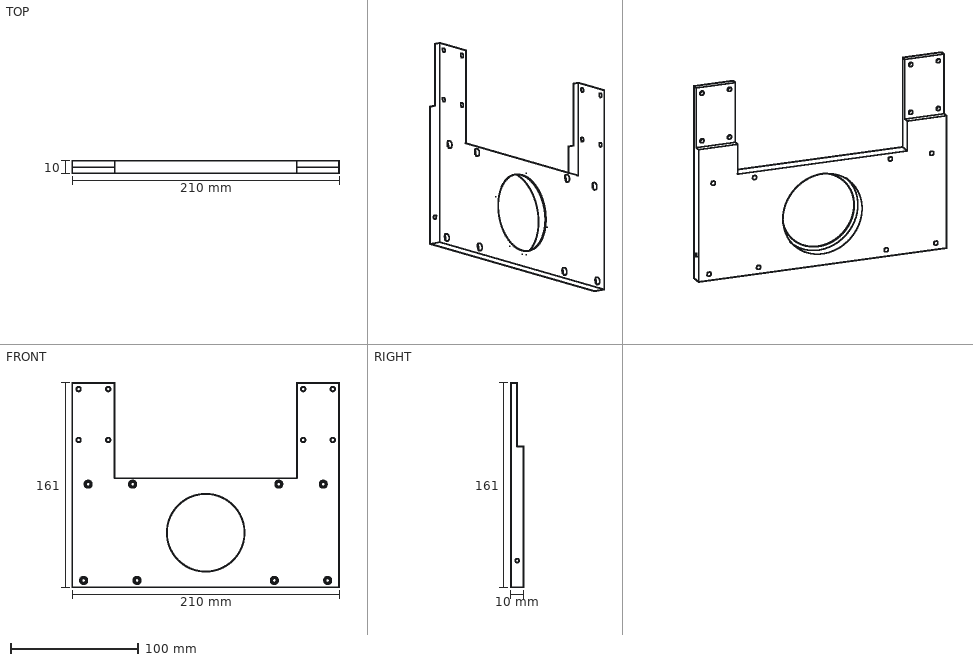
import cadquery as cq

width = 210.0
thickness = 10.0
height = 161.0
arm_width = 33.3
notch_depth = 75.0
body_height = height - notch_depth

thin_thickness = 5.0
thin_length = 50.0

bore_diameter = 61.0
lip_thickness = 1.0
recess_diameter = 67.0

arm_hole_diameter = 3.4
arm_hole_inset = 5.0
arm_hole_pitch = 40.0
arm_hole_top_offset = 5.0

screw_hole_diameter = 3.45
counterbore_diameter = 5.9
counterbore_depth = 3.5
screw_group_x = 75.0
upper_screw_pitch = 35.0
lower_screw_pitch = 42.0
upper_screw_offset = 4.8
lower_screw_offset = 5.45

side_hole_diameter = 3.0
side_hole_depth = 10.0
side_hole_z = 21.0


def box_between(x_min, x_max, y_min, y_max, z_min, z_max):
    """Axis-aligned box given by its limits."""
    size = (x_max - x_min, y_max - y_min, z_max - z_min)
    return cq.Workplane("XY").box(*size, centered=False).translate((x_min, y_min, z_min))


def holes_along_y(points, diameter, depth):
    """Cylinders entering the front face (y = 0) at (x, z) points."""
    front_plane = cq.Workplane("XZ").pushPoints(points)
    return front_plane.circle(diameter / 2).extrude(-depth)


def mirrored(points):
    """Points together with their mirror images about the middle plane x = 0."""
    return points + [(-x, z) for x, z in points]


def make_plate():
    """U-shaped plate with the upper ends of both arms thinned from the rear."""
    half_width = width / 2
    half_notch = half_width - arm_width
    plate = box_between(-half_width, half_width, 0, thickness, 0, height)
    notch = box_between(-half_notch, half_notch, 0, thickness, body_height, height)
    step_z = height - thin_length
    step = box_between(-half_width, half_width, thin_thickness, thickness, step_z, height)
    return plate.cut(notch).cut(step)


def cut_bore(part):
    """Large round opening in the middle of the body, widened behind a thin front lip."""
    centre = [(0, body_height / 2)]
    bore = holes_along_y(centre, bore_diameter, thickness)
    recess = holes_along_y(centre, recess_diameter, thickness).translate((0, lip_thickness, 0))
    return part.cut(bore).cut(recess)


def cut_arm_holes(part):
    """Four plain through holes in each arm."""
    outer_x = width / 2 - arm_hole_inset
    inner_x = width / 2 - arm_width + arm_hole_inset
    upper_z = height - arm_hole_top_offset
    lower_z = upper_z - arm_hole_pitch
    points = [(x, z) for x in (inner_x, outer_x) for z in (lower_z, upper_z)]
    return part.cut(holes_along_y(mirrored(points), arm_hole_diameter, thickness))


def cut_screw_holes(part):
    """Upper and lower rows of through holes, counterbored from the front."""
    rows = [
        (upper_screw_pitch, body_height - upper_screw_offset),
        (lower_screw_pitch, lower_screw_offset),
    ]
    points = [(screw_group_x + side * pitch / 2, z) for pitch, z in rows for side in (-1, 1)]
    points = mirrored(points)
    part = part.cut(holes_along_y(points, screw_hole_diameter, thickness))
    return part.cut(holes_along_y(points, counterbore_diameter, counterbore_depth))


def cut_side_holes(part):
    """One blind hole in each side edge, centred in the thickness."""
    left_edge = cq.Workplane("YZ", origin=(-width / 2, 0, 0))
    profile = left_edge.center(thickness / 2, side_hole_z).circle(side_hole_diameter / 2)
    hole = profile.extrude(side_hole_depth)
    return part.cut(hole).cut(hole.mirror("YZ"))


result = make_plate()
result = cut_bore(result)
result = cut_arm_holes(result)
result = cut_screw_holes(result)
result = cut_side_holes(result)